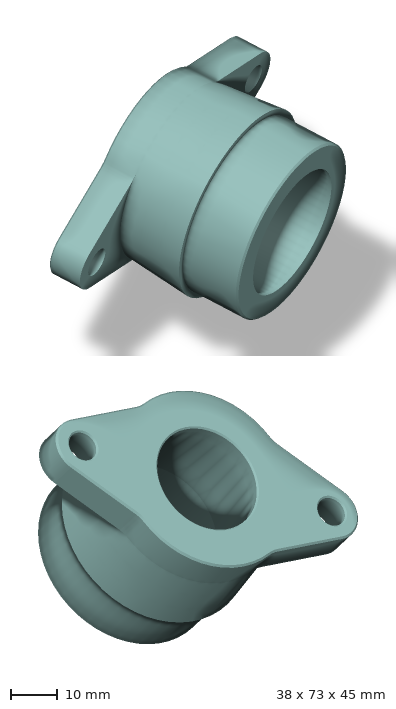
import cadquery as cq
import math

total_length = 38.0
flange_thickness = 7.95
cone_end = 24.0

body_diameter = 42.0
cone_end_diameter = 44.95
bore_diameter = 24.0
bore_rear_diameter = 30.0
bore_taper_end = cone_end

flange_span = 72.95
hole_spacing = 60.0
hole_diameter = 6.6
ear_slope = math.radians(25)
neck_fillet = 6.0

edge_chamfer = 0.45
hole_chamfer = 0.4

body_radius = body_diameter / 2
ear_center = hole_spacing / 2
ear_radius = flange_span / 2 - ear_center


def revolve_about_x(profile):
    """Turn a closed (x, radius) profile about the X axis."""
    return cq.Workplane("XY").polyline(profile).close().revolve(360, (0, 0, 0), (1, 0, 0))


def flange_disc(diameter, y):
    """Disc as thick as the flange, centred at the given Y."""
    return (
        cq.Workplane("YZ", origin=(0, y, 0))
        .circle(diameter / 2)
        .extrude(flange_thickness)
    )


def make_flange():
    """Round flange with two tapering ears, blended at the necks."""
    tangent_y = ear_center + ear_radius * math.sin(ear_slope)
    tangent_z = ear_radius * math.cos(ear_slope)
    flank_distance = ear_radius + ear_center * math.sin(ear_slope)
    neck_angle = ear_slope + math.acos(flank_distance / body_radius)
    neck_y = body_radius * math.sin(neck_angle)
    neck_z = body_radius * math.cos(neck_angle)
    flange = (
        cq.Workplane("YZ")
        .polyline([
            (tangent_y, tangent_z),
            (neck_y, neck_z),
            (-neck_y, neck_z),
            (-tangent_y, tangent_z),
            (-tangent_y, -tangent_z),
            (-neck_y, -neck_z),
            (neck_y, -neck_z),
            (tangent_y, -tangent_z),
        ])
        .close()
        .extrude(flange_thickness)
    )
    flange = flange.union(flange_disc(body_diameter, 0))
    for side in (-1, 1):
        ear = flange_disc(2 * ear_radius, side * ear_center)
        flange = flange.union(ear)

    box_margin = 0.7
    neck_box = cq.selectors.BoxSelector(
        (0, -neck_y - box_margin, -body_radius),
        (flange_thickness, neck_y + box_margin, body_radius),
    )
    flange = flange.edges("|X").edges(neck_box).fillet(neck_fillet)
    return flange.faces("<X").chamfer(edge_chamfer)


def make_barrel():
    """Widening cone behind the flange, then a straight spigot."""
    profile = [
        (flange_thickness, 0),
        (flange_thickness, body_radius),
        (cone_end, cone_end_diameter / 2),
        (cone_end, body_radius),
        (total_length - edge_chamfer, body_radius),
        (total_length, body_radius - edge_chamfer),
        (total_length, 0),
    ]
    return revolve_about_x(profile)


def make_bore():
    """Bore with a chamfered mouth, widening to a straight rear stretch."""
    mouth_radius = bore_diameter / 2
    rear_radius = bore_rear_diameter / 2
    profile = [
        (0, 0),
        (0, mouth_radius + hole_chamfer),
        (hole_chamfer, mouth_radius),
        (bore_taper_end, rear_radius),
        (total_length, rear_radius),
        (total_length, 0),
    ]
    return revolve_about_x(profile)


def make_ear_hole(y):
    """Through hole in an ear with a chamfered mouth on the front face."""
    radius = hole_diameter / 2
    profile = [
        (0, 0),
        (0, radius + hole_chamfer),
        (hole_chamfer, radius),
        (flange_thickness, radius),
        (flange_thickness, 0),
    ]
    return revolve_about_x(profile).translate((0, y, 0))


result = make_flange().union(make_barrel()).cut(make_bore())
for side in (-1, 1):
    result = result.cut(make_ear_hole(side * ear_center))